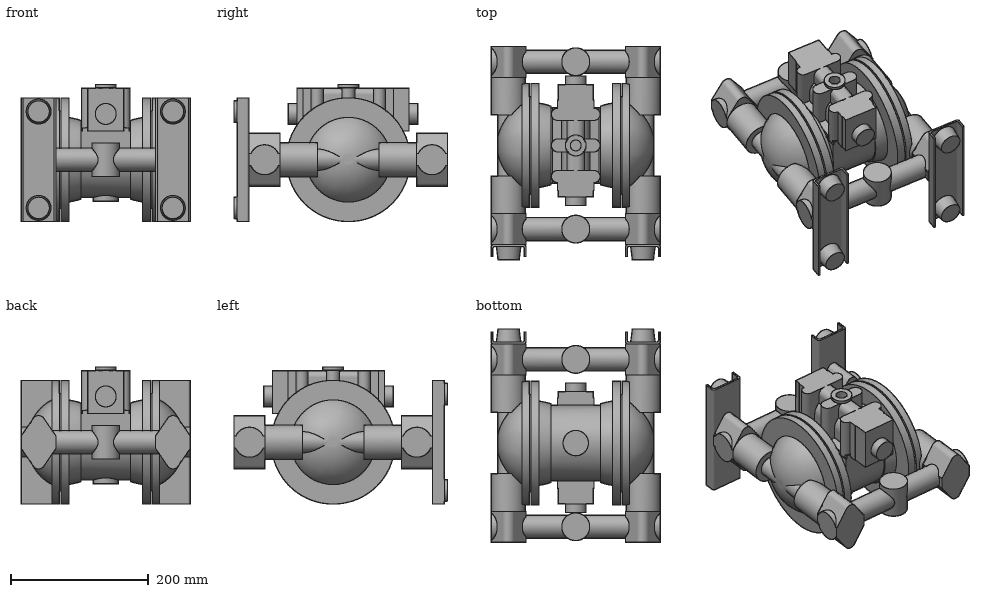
import cadquery as cq
import math


CHAMBER_RADIUS = 90
DOME_TIP_X = 113.4
DOME_TIP_RADIUS = 8
DOME_MID_X = 103.6
DOME_MID_RADIUS = 38
DOME_BASE_RADIUS = 61.5
OUTER_FLANGE_X = 78
GROOVE_OUTER_X = 67.5
GROOVE_INNER_X = 65.2
GROOVE_RADIUS = 71
INNER_FLANGE_X = 53.2
BELL_RADIUS = 61.5
BELL_MID_RADIUS = 59.8
BELL_END_RADIUS = 57

BODY_HALF_WIDTH = 35.6
BODY_RADIUS = 55
BODY_TOP_Z = 41.6
DRAIN_RADIUS = 18.4
DRAIN_BOTTOM_Z = -60.5

VALVE_TOP_Z = 104
VALVE_PLATE_HALF_WIDTH = 33.5
VALVE_PLATE_EDGE_Z = 46
VALVE_PLATE_INNER_Z = 47.2
SLAB_LENGTH = 2 * 35.4
END_SLAB_THICKNESS = 17.6
END_SLAB_OUTER_Y = 54
MIDDLE_SLAB_THICKNESS = 19
END_BLOCK_WIDTH = 2 * 26.7
END_BLOCK_Y = 65.7
CAP_WIDTH = 2 * 25.7
REAR_CAP_Y = 88.2
FRONT_CAP_Y = 74.7
VALVE_PORT_RADIUS = 15.2
VALVE_PORT_LENGTH = 12.8
VALVE_PORT_Z = 66.5
SPOOL_RADIUS = 20.7
SPOOL_Z = 63.5
RIDGE_HALF_WIDTH = 13
RIDGE_FILLET = 10

INLET_TOP_Z = 109.5
INLET_RIM_Z = 105
INLET_NECK_Z = 100
INLET_RADIUS = 15.2
INLET_BORE_RADIUS = 7.9
INLET_BORE_DEPTH = 15

MANIFOLD_END_Y = 144
ELBOW_LENGTH = 45
ELBOW_X = 97.5
ELBOW_HALF_WIDTH = 25.5
ELBOW_HALF_HEIGHT = 38.7
ELBOW_CREST_RADIUS = 9.3
ELBOW_SLOPE = math.radians(55.5)
PLUG_RADIUS = 21.8
CROSS_PIPE_RADIUS = 17
MANIFOLD_TEE_RADIUS = 20.3
MANIFOLD_TEE_HALF_HEIGHT = 24.5
SLEEVE_RADIUS = 25
SLEEVE_INNER_Y = 44.5
RISER_RADIUS = 15.4

CHANNEL_HEIGHT = 180
CHANNEL_DEPTH = 17.5
CHANNEL_THICKNESS = 2.8
CHANNEL_INNER_FILLET = 2.8
CHANNEL_OUTER_FILLET = 3.5
FOOT_SPACING = 140
FOOT_BASE_RADIUS = 18.4
FOOT_TIP_RADIUS = 15.6
FOOT_LENGTH = 22

ELBOW_OUTER_X = ELBOW_X + ELBOW_HALF_WIDTH
ELBOW_INNER_Y = MANIFOLD_END_Y - ELBOW_LENGTH
MANIFOLD_Y = MANIFOLD_END_Y - ELBOW_LENGTH / 2
SLEEVE_X = ELBOW_OUTER_X - SLEEVE_RADIUS
SIDES = (-1, 1)


def box(x_range, y_range, z_range):
    """Box spanning the given (low, high) ranges."""
    size = [high - low for low, high in (x_range, y_range, z_range)]
    corner = cq.Vector(x_range[0], y_range[0], z_range[0])
    return cq.Workplane(cq.Solid.makeBox(*size, pnt=corner))


def rod(radius, start, end):
    """Round rod from one point to another."""
    path = cq.Vector(*end) - cq.Vector(*start)
    return cq.Workplane(cq.Solid.makeCylinder(radius, path.Length, cq.Vector(*start), path))


def chambers():
    """Both flanged diaphragm chambers, revolved about X."""
    chamber = (
        cq.Workplane("XY")
        .moveTo(BODY_HALF_WIDTH, 0)
        .lineTo(DOME_TIP_X, 0)
        .lineTo(DOME_TIP_X, DOME_TIP_RADIUS)
        .threePointArc((DOME_MID_X, DOME_MID_RADIUS), (OUTER_FLANGE_X, DOME_BASE_RADIUS))
        .lineTo(OUTER_FLANGE_X, CHAMBER_RADIUS)
        .lineTo(GROOVE_OUTER_X, CHAMBER_RADIUS)
        .lineTo(GROOVE_OUTER_X, GROOVE_RADIUS)
        .lineTo(GROOVE_INNER_X, GROOVE_RADIUS)
        .lineTo(GROOVE_INNER_X, CHAMBER_RADIUS)
        .lineTo(INNER_FLANGE_X, CHAMBER_RADIUS)
        .lineTo(INNER_FLANGE_X, BELL_RADIUS)
        .threePointArc(
            ((INNER_FLANGE_X + BODY_HALF_WIDTH) / 2, BELL_MID_RADIUS),
            (BODY_HALF_WIDTH, BELL_END_RADIUS),
        )
        .close()
        .revolve(360, (0, 0, 0), (1, 0, 0))
    )
    return chamber.union(chamber.mirror("YZ"))


def centre_body():
    """U-shaped body, flat on top and round below, with a drain boss underneath."""
    body = (
        cq.Workplane("YZ")
        .workplane(offset=-BODY_HALF_WIDTH)
        .moveTo(-BODY_RADIUS, 0)
        .threePointArc((0, -BODY_RADIUS), (BODY_RADIUS, 0))
        .lineTo(BODY_RADIUS, BODY_TOP_Z)
        .lineTo(-BODY_RADIUS, BODY_TOP_Z)
        .close()
        .extrude(2 * BODY_HALF_WIDTH)
    )
    return body.union(rod(DRAIN_RADIUS, (0, 0, 0), (0, 0, DRAIN_BOTTOM_Z)))


def valve_slab(centre_y, thickness):
    """Upright slab across the valve with fully rounded ends."""
    return (
        cq.Workplane("XY")
        .workplane(offset=BODY_TOP_Z)
        .center(0, centre_y)
        .slot2D(SLAB_LENGTH, thickness)
        .extrude(VALVE_TOP_Z - BODY_TOP_Z)
    )


def valve_end(side, cap_y):
    """Slab, block, cap and port at one Y end of the valve."""
    height = (BODY_TOP_Z, VALVE_TOP_Z)
    slab_y = END_SLAB_OUTER_Y - END_SLAB_THICKNESS / 2
    slab = valve_slab(side * slab_y, END_SLAB_THICKNESS)
    block_y = sorted((side * slab_y, side * END_BLOCK_Y))
    block = box((-END_BLOCK_WIDTH / 2, END_BLOCK_WIDTH / 2), block_y, height)
    cap_range = sorted((side * END_BLOCK_Y, side * cap_y))
    cap = box((-CAP_WIDTH / 2, CAP_WIDTH / 2), cap_range, height)
    port_end_y = side * (cap_y + VALVE_PORT_LENGTH)
    port = rod(
        VALVE_PORT_RADIUS, (0, side * END_BLOCK_Y, VALVE_PORT_Z), (0, port_end_y, VALVE_PORT_Z)
    )
    return slab.union(block).union(cap).union(port)


def valve():
    """Base plate sloping off to both sides, arched spool housing, ridge, slabs and ends."""
    slab_y = END_SLAB_OUTER_Y - END_SLAB_THICKNESS / 2
    plate_outline = [
        (-VALVE_PLATE_HALF_WIDTH, BODY_TOP_Z),
        (-VALVE_PLATE_HALF_WIDTH, VALVE_PLATE_EDGE_Z),
        (-SPOOL_RADIUS, VALVE_PLATE_INNER_Z),
        (SPOOL_RADIUS, VALVE_PLATE_INNER_Z),
        (VALVE_PLATE_HALF_WIDTH, VALVE_PLATE_EDGE_Z),
        (VALVE_PLATE_HALF_WIDTH, BODY_TOP_Z),
    ]
    plate = cq.Workplane("XZ").polyline(plate_outline).close().extrude(BODY_RADIUS, both=True)
    spool = rod(SPOOL_RADIUS, (0, -slab_y, SPOOL_Z), (0, slab_y, SPOOL_Z))
    spool_base = box((-SPOOL_RADIUS, SPOOL_RADIUS), (-slab_y, slab_y), (BODY_TOP_Z, SPOOL_Z))
    ridge = box(
        (-RIDGE_HALF_WIDTH, RIDGE_HALF_WIDTH), (-slab_y, slab_y), (SPOOL_Z, VALVE_TOP_Z)
    )
    ridge = ridge.edges("|Y and >Z").fillet(RIDGE_FILLET)
    body = plate.union(spool).union(spool_base).union(ridge)
    body = body.union(valve_slab(0, MIDDLE_SLAB_THICKNESS))
    return body.union(valve_end(1, REAR_CAP_Y)).union(valve_end(-1, FRONT_CAP_Y))


def air_inlet():
    """Round inlet rim that tapers down to the middle slab."""
    return (
        cq.Workplane("XZ")
        .moveTo(0, INLET_NECK_Z)
        .lineTo(MIDDLE_SLAB_THICKNESS / 2, INLET_NECK_Z)
        .lineTo(INLET_RADIUS, INLET_RIM_Z)
        .lineTo(INLET_RADIUS, INLET_TOP_Z)
        .lineTo(0, INLET_TOP_Z)
        .close()
        .revolve(360, (0, 0, 0), (0, 1, 0))
    )


def elbow_block(x, y_start):
    """Six-sided block along Y with rounded crests above and below."""
    crest_z = ELBOW_HALF_HEIGHT + ELBOW_CREST_RADIUS * (1 / math.cos(ELBOW_SLOPE) - 1)
    shoulder_z = crest_z - ELBOW_HALF_WIDTH * math.tan(ELBOW_SLOPE)
    outline = [
        (0, crest_z),
        (ELBOW_HALF_WIDTH, shoulder_z),
        (ELBOW_HALF_WIDTH, -shoulder_z),
        (0, -crest_z),
        (-ELBOW_HALF_WIDTH, -shoulder_z),
        (-ELBOW_HALF_WIDTH, shoulder_z),
    ]
    block = cq.Workplane("XZ").polyline(outline).close().extrude(-ELBOW_LENGTH)
    block = block.edges("|Y").edges(">Z or <Z").fillet(ELBOW_CREST_RADIUS)
    return block.translate((x, y_start, 0))


def manifold(side):
    """Cross pipe, middle tee, elbow blocks, plugs and sleeves at one Y end."""
    y = side * MANIFOLD_Y
    block_start = min(side * ELBOW_INNER_Y, side * MANIFOLD_END_Y)
    body = rod(CROSS_PIPE_RADIUS, (-ELBOW_X, y, 0), (ELBOW_X, y, 0))
    tee_half = MANIFOLD_TEE_HALF_HEIGHT
    body = body.union(rod(MANIFOLD_TEE_RADIUS, (0, y, -tee_half), (0, y, tee_half)))
    for end in SIDES:
        sleeve_x = end * SLEEVE_X
        plug = rod(PLUG_RADIUS, (end * ELBOW_X, y, 0), (end * ELBOW_OUTER_X, y, 0))
        sleeve = rod(
            SLEEVE_RADIUS, (sleeve_x, side * SLEEVE_INNER_Y, 0), (sleeve_x, side * ELBOW_INNER_Y, 0)
        )
        body = body.union(elbow_block(end * ELBOW_X, block_start)).union(plug).union(sleeve)
    return body


def risers():
    """Pipes along Y that join the sleeves through each chamber dome."""
    body = cq.Workplane()
    for end in SIDES:
        x = end * SLEEVE_X
        body = body.union(rod(RISER_RADIUS, (x, -ELBOW_INNER_Y, 0), (x, ELBOW_INNER_Y, 0)))
    return body


def mounting_channel(x):
    """Upright U channel open toward -Y with two tapered feet."""
    web_y = -MANIFOLD_END_Y
    open_y = web_y - CHANNEL_DEPTH
    inner_half = ELBOW_HALF_WIDTH - CHANNEL_THICKNESS
    height = (-CHANNEL_HEIGHT / 2, CHANNEL_HEIGHT / 2)
    channel = box((x - ELBOW_HALF_WIDTH, x + ELBOW_HALF_WIDTH), (open_y, web_y), height)
    channel = channel.edges("|Z and >Y").fillet(CHANNEL_OUTER_FILLET)
    hollow = box((x - inner_half, x + inner_half), (open_y, web_y - CHANNEL_THICKNESS), height)
    hollow = hollow.edges("|Z and >Y").fillet(CHANNEL_INNER_FILLET)
    channel = channel.cut(hollow)
    for level in SIDES:
        base = cq.Vector(x, web_y, level * FOOT_SPACING / 2)
        foot = cq.Solid.makeCone(
            FOOT_BASE_RADIUS, FOOT_TIP_RADIUS, FOOT_LENGTH, base, cq.Vector(0, -1, 0)
        )
        channel = channel.union(cq.Workplane(foot))
    return channel


result = chambers().union(centre_body()).union(valve()).union(air_inlet()).union(risers())
for side in SIDES:
    result = result.union(manifold(side))
    result = result.union(mounting_channel(side * ELBOW_X))
inlet_bore = rod(INLET_BORE_RADIUS, (0, 0, INLET_TOP_Z - INLET_BORE_DEPTH), (0, 0, INLET_TOP_Z))
result = result.cut(inlet_bore)